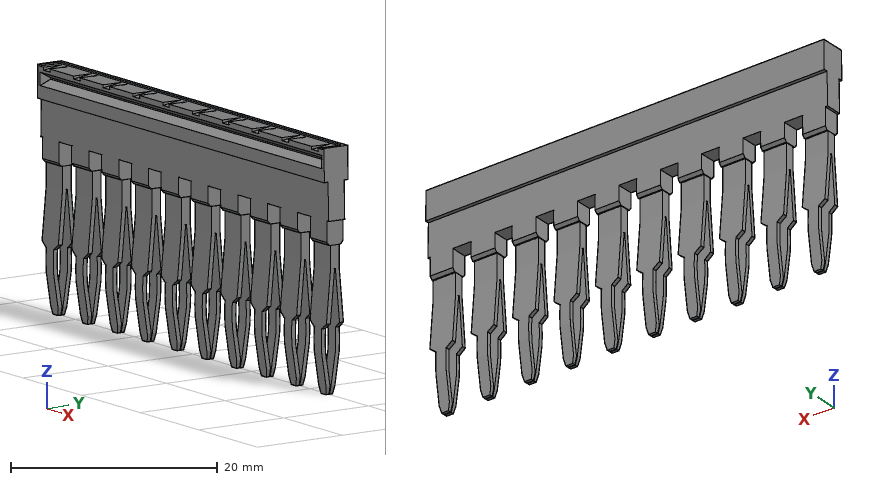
import cadquery as cq


PIN_COUNT = 10
PIN_PITCH = 5.08

TOP_LENGTH = 48.85
BOTTOM_LENGTH = 49.1
HEAD_WIDTH = 2.8
HEAD_BOTTOM_Z = -3.4
BODY_WIDTH = 1.9
BODY_BOTTOM_Z = -7.25

INNER_SLEEVE_WIDTH = 2.95
END_SLEEVE_WIDTH = 2.8
INNER_SLEEVE_BOTTOM_Z = -9.35
END_SLEEVE_BOTTOM_Z = -9.7
SLEEVE_BEVEL_HEIGHT = 0.35
SLEEVE_BEVEL_DEPTH = 0.3

RECESS_DEPTH = 0.15
RIM_WIDTH = 0.45
RIM_FRONT_WIDTH = 0.3
RECESS_CORNER = 0.15

NOTCH_WIDTH = 1.0
NOTCH_LENGTH = 2.05
NOTCH_FRONT_DEPTH = 0.3
NOTCH_DRAFT = 0.05

GROOVE_LENGTH = 48.0
GROOVE_TOP_Z = -0.75
GROOVE_BOTTOM_Z = -2.05
GROOVE_DEPTH = 0.95
GROOVE_BACK_HEIGHT = 0.15
GROOVE_END_SLOPE = 0.45

STRIP_THICKNESS = 1.05
BAR_TOP_Z = -3.95
BAR_BOTTOM_Z = -5.9
ROOT_WIDTH = 1.95

BLADE_WIDTH = 2.8
NECK_WIDTH = 1.3
TIP_WIDTH = 0.85
SPLIT_Z = -12.1
SHOULDER_TOP_Z = -17.5
LEAF_BEND_Z = -17.73
SHOULDER_BOTTOM_Z = -18.05
BULGE_TOP_Z = -19.35
BULGE_BOTTOM_Z = -20.5
TIP_TAPER_Z = -23.85
TIP_Z = -24.7
LEAF_THICKNESS = 0.465
LEAF_BEND_Y = 1.05
BULGE_TOP_Y = 1.1
BULGE_BOTTOM_Y = 1.05
TIP_Y = 0.4
TIP_GAP_Y = 0.05

FRONT_Y = -HEAD_WIDTH / 2
BACK_Y = HEAD_WIDTH / 2
PIN_POSITIONS = [(i - (PIN_COUNT - 1) / 2) * PIN_PITCH for i in range(PIN_COUNT)]


def box(x_center, length, width, bottom_z, top_z):
    """Box centred on Y, between two heights."""
    return (
        cq.Workplane("XY", origin=(x_center, 0, bottom_z))
        .rect(length, width)
        .extrude(top_z - bottom_z)
    )


def extrude_along_x(points, x_center, length):
    """Extrude a closed (y, z) outline along X, centred on x_center."""
    return (
        cq.Workplane("YZ", origin=(x_center, 0, 0))
        .polyline(points)
        .close()
        .extrude(length / 2, both=True)
    )


def extrude_along_y(points, x_center, width):
    """Extrude a closed (x, z) outline along Y, centred on Y = 0."""
    return (
        cq.Workplane("XZ", origin=(x_center, 0, 0))
        .polyline(points)
        .close()
        .extrude(width / 2, both=True)
    )


def make_shell():
    """Wide head above a narrow body, with ends that flare outwards slightly towards the bottom."""
    top = TOP_LENGTH / 2
    bottom = BOTTOM_LENGTH / 2
    outline = [(-top, 0), (top, 0), (bottom, BODY_BOTTOM_Z), (-bottom, BODY_BOTTOM_Z)]
    head_space = box(0, BOTTOM_LENGTH, HEAD_WIDTH, HEAD_BOTTOM_Z, 0)
    head = extrude_along_y(outline, 0, HEAD_WIDTH).intersect(head_space)
    return extrude_along_y(outline, 0, BODY_WIDTH).union(head)


def make_sleeve(x, width, bottom_z):
    """Sleeve around one pin root, bevelled at the front and back of its lower end."""
    side = BODY_WIDTH / 2
    bottom_side = side - SLEEVE_BEVEL_DEPTH
    bevel_z = bottom_z + SLEEVE_BEVEL_HEIGHT
    outline = [
        (-side, BODY_BOTTOM_Z),
        (side, BODY_BOTTOM_Z),
        (side, bevel_z),
        (bottom_side, bottom_z),
        (-bottom_side, bottom_z),
        (-side, bevel_z),
    ]
    return extrude_along_x(outline, x, width)


def make_recess():
    """Label recess with cut corners at the back and slightly flared ends."""
    back_x = TOP_LENGTH / 2 - RIM_WIDTH
    front_x = TOP_LENGTH / 2 - RIM_FRONT_WIDTH
    back_y = BACK_Y - RIM_WIDTH
    corner_x = back_x - RECESS_CORNER
    corner_y = back_y - RECESS_CORNER
    outline = [
        (-front_x, FRONT_Y),
        (front_x, FRONT_Y),
        (back_x, corner_y),
        (corner_x, back_y),
        (-corner_x, back_y),
        (-back_x, corner_y),
    ]
    return cq.Workplane("XY").polyline(outline).close().extrude(-RECESS_DEPTH)


def make_notch(x):
    """Notch that deepens and widens towards the front."""
    floor_z = -RECESS_DEPTH
    outline = [
        (FRONT_Y, floor_z),
        (FRONT_Y + NOTCH_LENGTH, floor_z),
        (FRONT_Y, floor_z - NOTCH_FRONT_DEPTH),
    ]
    back_x = NOTCH_WIDTH / 2
    front_x = back_x + NOTCH_DRAFT
    plan = [
        (-front_x, FRONT_Y),
        (front_x, FRONT_Y),
        (back_x, FRONT_Y + NOTCH_LENGTH),
        (-back_x, FRONT_Y + NOTCH_LENGTH),
    ]
    slope = extrude_along_x(outline, x, 2 * front_x)
    sides = cq.Workplane("XY", origin=(x, 0, 0)).polyline(plan).close().extrude(HEAD_BOTTOM_Z)
    return slope.intersect(sides)


def make_groove():
    """Groove whose sides and ends all slope in towards a narrow back wall."""
    middle_z = (GROOVE_TOP_Z + GROOVE_BOTTOM_Z) / 2
    back_y = FRONT_Y + GROOVE_DEPTH
    profile = [
        (FRONT_Y, GROOVE_TOP_Z),
        (back_y, middle_z + GROOVE_BACK_HEIGHT / 2),
        (back_y, middle_z - GROOVE_BACK_HEIGHT / 2),
        (FRONT_Y, GROOVE_BOTTOM_Z),
    ]
    mouth_x = GROOVE_LENGTH / 2
    back_x = mouth_x - GROOVE_END_SLOPE
    plan = [
        (-mouth_x, FRONT_Y),
        (mouth_x, FRONT_Y),
        (back_x, back_y),
        (-back_x, back_y),
    ]
    ends = cq.Workplane("XY").polyline(plan).close().extrude(HEAD_BOTTOM_Z)
    return extrude_along_x(profile, 0, GROOVE_LENGTH).intersect(ends)


def make_housing(comb):
    """Housing with a cavity that matches the comb."""
    housing = make_shell()
    for x in PIN_POSITIONS[1:-1]:
        housing = housing.union(make_sleeve(x, INNER_SLEEVE_WIDTH, INNER_SLEEVE_BOTTOM_Z))
    for x in (PIN_POSITIONS[0], PIN_POSITIONS[-1]):
        housing = housing.union(make_sleeve(x, END_SLEEVE_WIDTH, END_SLEEVE_BOTTOM_Z))
    housing = housing.cut(make_recess()).cut(make_groove())
    for x in PIN_POSITIONS:
        housing = housing.cut(make_notch(x))
    return housing.cut(comb)


def make_blade_profile(top_z):
    """Side profile of a pin below the sleeve: a solid blade that splits into two leaves."""
    outer = [
        (STRIP_THICKNESS / 2, SPLIT_Z),
        (LEAF_BEND_Y, LEAF_BEND_Z),
        (BULGE_TOP_Y, BULGE_TOP_Z),
        (BULGE_BOTTOM_Y, BULGE_BOTTOM_Z),
    ]
    inner = [(y - LEAF_THICKNESS, z) for y, z in outer]
    tip_slope = (BULGE_BOTTOM_Z - TIP_Z) / (BULGE_BOTTOM_Y - TIP_Y)
    meeting_z = TIP_Z + (TIP_GAP_Y + LEAF_THICKNESS - TIP_Y) * tip_slope
    leaf_end = [(TIP_Y, TIP_Z), (TIP_GAP_Y, TIP_Z), (TIP_GAP_Y, meeting_z)]
    half = [(STRIP_THICKNESS / 2, top_z)] + outer + leaf_end + inner[::-1]
    mirrored_half = [(-y, z) for y, z in half[::-1]]
    return half + mirrored_half


def make_pin(x, blade_top_z):
    """Pin with its root, starting at the bar."""
    blade = BLADE_WIDTH / 2
    neck = NECK_WIDTH / 2
    tip = TIP_WIDTH / 2
    right_side = [
        (blade, blade_top_z),
        (blade, SHOULDER_TOP_Z),
        (neck, SHOULDER_BOTTOM_Z),
        (neck, TIP_TAPER_Z),
        (tip, TIP_Z),
    ]
    outline = right_side + [(-side, z) for side, z in right_side[::-1]]
    face = extrude_along_y(outline, x, 2 * BULGE_TOP_Y)
    profile = extrude_along_x(make_blade_profile(blade_top_z), x, BLADE_WIDTH)
    root = box(x, ROOT_WIDTH, STRIP_THICKNESS, blade_top_z, BAR_BOTTOM_Z)
    return root.union(profile.intersect(face))


def make_comb():
    """One piece of metal: the bar and all its pins."""
    bar_length = PIN_POSITIONS[-1] - PIN_POSITIONS[0] + ROOT_WIDTH
    comb = box(0, bar_length, STRIP_THICKNESS, BAR_BOTTOM_Z, BAR_TOP_Z)
    for x in PIN_POSITIONS:
        is_end = x in (PIN_POSITIONS[0], PIN_POSITIONS[-1])
        blade_top_z = END_SLEEVE_BOTTOM_Z if is_end else INNER_SLEEVE_BOTTOM_Z
        comb = comb.union(make_pin(x, blade_top_z))
    return comb


comb = make_comb()
housing = make_housing(comb)

result = cq.Compound.makeCompound([housing.val(), comb.val()])